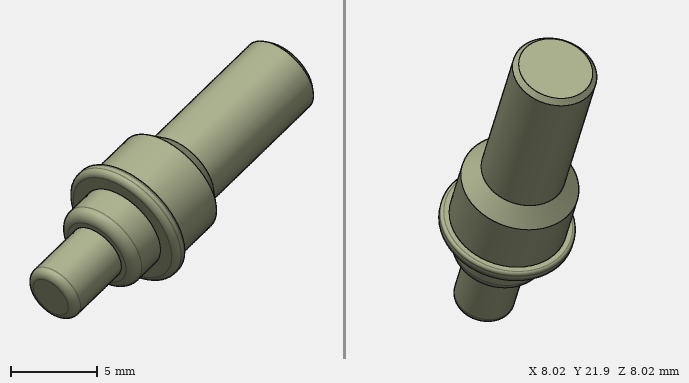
import cadquery as cq

total_length = 21.9
shank_length = 9.73
taper_length = 1.0
body_length = 3.53
flange_thickness = 0.88
collar_length = 2.4
tip_length = (
    total_length - shank_length - taper_length - body_length - flange_thickness - collar_length
)

shank_diameter = 5.0
body_diameter = 7.0
flange_diameter = 8.02
collar_diameter = 5.59
tip_diameter = 3.6

shank_chamfer = 0.3
flange_fillet = 0.4
flange_rear_fillet = 0.2
collar_fillet = 0.65
tip_fillet = 0.5


def cylinder(rear_y, length, diameter):
    """Cylinder running forward (toward -Y) from rear_y."""
    return cq.Workplane("XZ", origin=(0, rear_y, 0)).circle(diameter / 2).extrude(length)


rear_y = total_length / 2
taper_y = rear_y - shank_length
body_y = taper_y - taper_length
flange_y = body_y - body_length
collar_y = flange_y - flange_thickness
tip_y = collar_y - collar_length

shank = cylinder(rear_y, shank_length, shank_diameter).faces(">Y").chamfer(shank_chamfer)

taper = (
    cq.Workplane("XZ", origin=(0, taper_y, 0))
    .circle(shank_diameter / 2)
    .workplane(offset=taper_length)
    .circle(body_diameter / 2)
    .loft()
)

body = cylinder(body_y, body_length, body_diameter)

flange = (
    cylinder(flange_y, flange_thickness, flange_diameter)
    .faces("<Y").edges().fillet(flange_fillet)
    .faces(">Y").edges().fillet(flange_rear_fillet)
)

collar = cylinder(collar_y, collar_length, collar_diameter).faces("<Y").edges().fillet(collar_fillet)
tip = cylinder(tip_y, tip_length, tip_diameter).faces("<Y").edges().fillet(tip_fillet)

result = shank.union(taper).union(body).union(flange).union(collar).union(tip)